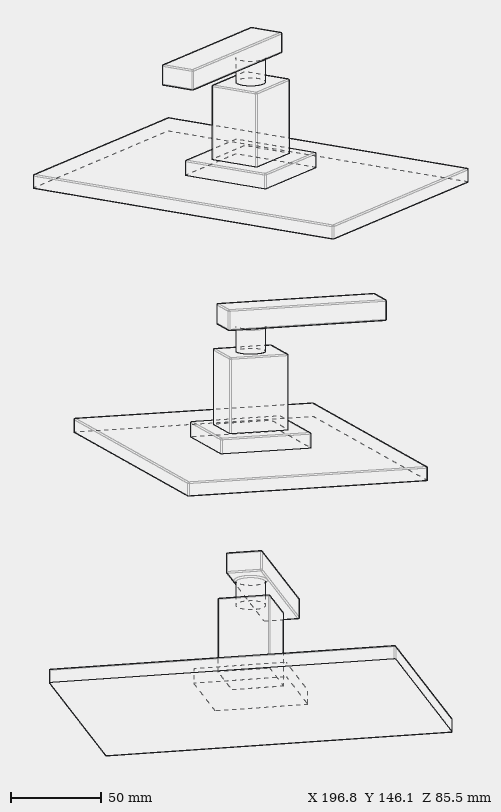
import cadquery as cq

PLATE_X = 196.8
PLATE_Y = 140.2
PLATE_TOP = 7.9

BASE_SIDE = 52.8
BASE_TOP = 16.5

POST_X = 29.5
POST_Y = 34.3
POST_TOP = 59.3

STEM_DIAMETER = 16.5

LEVER_X = 20.5
LEVER_BACK = 16.5
LEVER_FRONT = -76.0
LEVER_BOTTOM = 73.6
LEVER_TOP = 85.5

EDGE_RADIUS = 0.8
STEM_FILLET = 1.0


def block(size_x, size_y, bottom, top):
    """Upright block centred on the Z axis."""
    height = top - bottom
    return cq.Workplane("XY").workplane(offset=bottom).rect(size_x, size_y).extrude(height)


def soften_sides_and_top(body):
    """Round the upright edges and the rim of the top face."""
    return body.edges("|Z or >Z").fillet(EDGE_RADIUS)


plate = soften_sides_and_top(block(PLATE_X, PLATE_Y, 0, PLATE_TOP))
base = soften_sides_and_top(block(BASE_SIDE, BASE_SIDE, PLATE_TOP, BASE_TOP))
post = soften_sides_and_top(block(POST_X, POST_Y, BASE_TOP, POST_TOP))

lever_length = LEVER_BACK - LEVER_FRONT
lever_middle = (LEVER_BACK + LEVER_FRONT) / 2
lever = (
    block(LEVER_X, lever_length, LEVER_BOTTOM, LEVER_TOP)
    .translate((0, lever_middle, 0))
    .edges()
    .fillet(EDGE_RADIUS)
)

stem_radius = STEM_DIAMETER / 2
stem = (
    cq.Workplane("XZ")
    .moveTo(0, POST_TOP)
    .lineTo(stem_radius, POST_TOP)
    .lineTo(stem_radius, LEVER_BOTTOM - STEM_FILLET)
    .radiusArc((stem_radius + STEM_FILLET, LEVER_BOTTOM), STEM_FILLET)
    .lineTo(0, LEVER_BOTTOM)
    .close()
    .revolve(360, (0, 0), (0, 1))
)

result = plate.union(base).union(post).union(stem).union(lever)